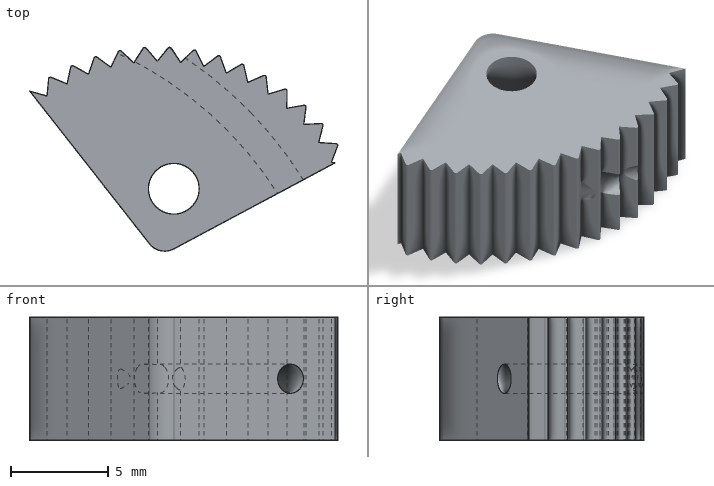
import cadquery as cq
import math

THICKNESS = 6.35
PIVOT_HOLE_DIAMETER = 2.6

WEDGE_ANGLE = 100.0
AXIS_ANGLE = 78.1
APEX_DISTANCE = 3.575
APEX_RADIUS = 1.0
WEDGE_REACH = 20.0

TEETH_CENTER_DISTANCE = 3.71
TEETH_PER_TURN = 53
TOOTH_COUNT = 16
ROOT_RADIUS = 10.2
SHARP_TIP_RADIUS = 11.0
TIP_ROUNDING = 0.1
MIDDLE_VALLEY_ANGLE = 76.9

CURVED_HOLE_DIAMETER = 1.5
CURVED_HOLE_OFFSET = 7.65
CURVED_HOLE_BEND_RADIUS = 20.0
CURVED_HOLE_TILT = 4.0
CURVED_HOLE_LEAD = 5.0
CURVED_HOLE_SWEEP = 50.0

PITCH_ANGLE = 360.0 / TEETH_PER_TURN
RIGHT_FLANK_ANGLE = AXIS_ANGLE - WEDGE_ANGLE / 2
LEFT_FLANK_ANGLE = AXIS_ANGLE + WEDGE_ANGLE / 2


def polar(center, radius, angle):
    """Point at a radius and an angle in degrees from a centre."""
    turn = math.radians(angle)
    return (center[0] + radius * math.cos(turn), center[1] + radius * math.sin(turn))


APEX = polar((0, 0), -APEX_DISTANCE, AXIS_ANGLE)
TEETH_CENTER = polar((0, 0), -TEETH_CENTER_DISTANCE, AXIS_ANGLE)


def extrude_outline(points):
    """Closed outline extruded over the full thickness, centred on Z = 0."""
    return cq.Workplane("XY").polyline(points).close().extrude(THICKNESS / 2, both=True)


def make_wedge():
    right_end = polar(APEX, WEDGE_REACH, RIGHT_FLANK_ANGLE)
    left_end = polar(APEX, WEDGE_REACH, LEFT_FLANK_ANGLE)
    wedge = extrude_outline([APEX, right_end, left_end])
    return wedge.edges("|Z").edges("<Y").fillet(APEX_RADIUS)


def make_toothed_fan():
    """Fan of pointed teeth with rounded tips, wider than the wedge."""
    first_valley_angle = MIDDLE_VALLEY_ANGLE - TOOTH_COUNT / 2 * PITCH_ANGLE
    fan_center = polar(TEETH_CENTER, -WEDGE_REACH, AXIS_ANGLE)
    points = [fan_center, polar(TEETH_CENTER, ROOT_RADIUS, first_valley_angle)]
    tips = []
    for tooth in range(TOOTH_COUNT):
        valley_angle = first_valley_angle + tooth * PITCH_ANGLE
        tips.append(polar(TEETH_CENTER, SHARP_TIP_RADIUS, valley_angle + PITCH_ANGLE / 2))
        points.append(tips[-1])
        points.append(polar(TEETH_CENTER, ROOT_RADIUS, valley_angle + PITCH_ANGLE))
    fan = extrude_outline(points)
    tip_edges = [fan.edges(cq.NearestToPointSelector((x, y, 0))).val() for x, y in tips]
    return fan.newObject(tip_edges).fillet(TIP_ROUNDING)


def make_curved_hole():
    """Round bar bent about a vertical axis, lengthened at both ends past the faces it pierces."""
    entry = polar(APEX, CURVED_HOLE_OFFSET, RIGHT_FLANK_ANGLE)
    entry_angle = RIGHT_FLANK_ANGLE + CURVED_HOLE_TILT
    bend_center = polar(entry, -CURVED_HOLE_BEND_RADIUS, entry_angle)
    start_angle = entry_angle - CURVED_HOLE_LEAD
    bar = (
        cq.Workplane("XZ")
        .moveTo(CURVED_HOLE_BEND_RADIUS, 0)
        .circle(CURVED_HOLE_DIAMETER / 2)
        .revolve(CURVED_HOLE_SWEEP, (0, 0), (0, 1))
    )
    return bar.rotate((0, 0, 0), (0, 0, 1), start_angle).translate((*bend_center, 0))


def make_pivot_hole():
    return cq.Workplane("XY").circle(PIVOT_HOLE_DIAMETER / 2).extrude(THICKNESS / 2, both=True)


sector = make_wedge().intersect(make_toothed_fan())
result = sector.cut(make_pivot_hole()).cut(make_curved_hole())